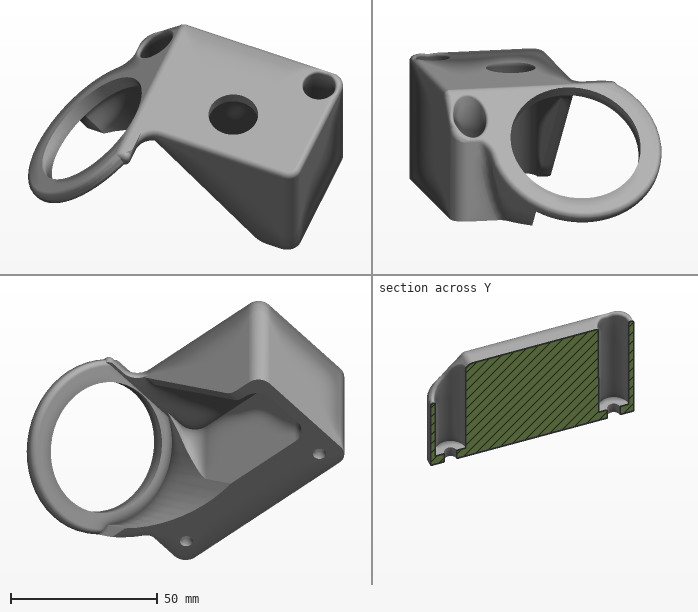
import cadquery as cq
import math

LENGTH = 97.5
HEIGHT = 43.0
BLOCK_DEPTH = 47.4
COLUMN_X = 22.6
CORNER_R = 5.0
WALL = 4.0
EDGE_R = 1.95
BEND_R = 2.9

BEND_X = 37.1
RING_X = 20.5
RING_Y = -42.4
RING_R = 30.0
RING_THICK = 5.0
BORE_D = 45.0
TUNNEL_R = 26.6
SKIRT_END_Y = -25.3
BLEND_R = 7.0
TAB_X = 41.2
TAB_R = 6.0
COLUMN_BLEND_R = 2.9

POCKET_BACK_Y = -17.1
POCKET_R = 6.0
WALL_FOOT_R = 6.8

TOP_HOLE_D = 17.0
TOP_HOLE_XY = (67.6, -29.9)
SCREW_D = 4.5
SCREW_HEAD_D = 11.0
SCREW_FLOOR = 4.0
SCREW_RIM_R = 0.9
SCREW_Y = -7.4
SCREW_XS = (30.0, 90.0)

MATCH = 0.01
REACH = 2 * LENGTH
ROOT2 = math.sqrt(2)
ring_run = (BEND_X - RING_X) * ROOT2
column_run = (BEND_X - COLUMN_X) * ROOT2
tab_y = RING_Y - math.sqrt(RING_R**2 - ring_run**2)

slope = cq.Plane(origin=(BEND_X, 0, HEIGHT), xDir=(-1, 0, -1), normal=(1, 0, -1))


def box(x0, x1, y0, y1, z0, z1):
    return cq.Workplane("XY").box(x1 - x0, y1 - y0, z1 - z0, centered=False).translate((x0, y0, z0))


def slope_disc(radius, start, depth):
    return (cq.Workplane(slope).workplane(offset=start)
            .center(ring_run, RING_Y).circle(radius).extrude(depth))


def slope_edges(shape, kind):
    """Edges of one kind around the sloped face."""
    face = shape.faces(cq.selectors.DirectionMinMaxSelector(slope.zDir, False))
    return face.edges(kind)


def make_block():
    plan = [(COLUMN_X, 0), (LENGTH, 0), (LENGTH, -BLOCK_DEPTH), (TAB_X, -BLOCK_DEPTH),
            (TAB_X, RING_Y), (COLUMN_X, RING_Y)]
    block = cq.Workplane("XY").polyline(plan).close().extrude(HEIGHT)
    for x, y in ((COLUMN_X, 0), (LENGTH, 0), (LENGTH, -BLOCK_DEPTH)):
        block = block.edges(cq.selectors.NearestToPointSelector((x, y, HEIGHT / 2))).fillet(CORNER_R)
    return block


def make_tab():
    """Strip of the top beside the ring, with the inner corner to the front wall rounded."""
    strip = box(BEND_X, TAB_X, tab_y, RING_Y, 0, HEIGHT).edges("|Z and >X and <Y").fillet(EDGE_R)
    corner = (cq.Workplane("XY").moveTo(TAB_X, -BLOCK_DEPTH).lineTo(TAB_X, -BLOCK_DEPTH - TAB_R)
              .radiusArc((TAB_X + TAB_R, -BLOCK_DEPTH), TAB_R).close().extrude(HEIGHT))
    return strip.union(corner)


def make_ring_stem():
    """Ring plate, with a skirt behind it that follows its outline square to the slope."""
    centre_x = column_run + BLEND_R
    reach = RING_R + BLEND_R
    centre_y = RING_Y + math.sqrt(reach**2 - (centre_x - ring_run)**2)
    part_way = RING_R / reach
    touch = (ring_run + (centre_x - ring_run) * part_way, RING_Y + (centre_y - RING_Y) * part_way)
    toward = (ring_run - centre_x, RING_Y - centre_y)
    angle = (math.pi + math.atan2(toward[1], toward[0]) % (2 * math.pi)) / 2
    middle = (centre_x + BLEND_R * math.cos(angle), centre_y + BLEND_R * math.sin(angle))

    web = (cq.Workplane(slope).moveTo(0, -CORNER_R).lineTo(column_run, -CORNER_R)
           .lineTo(column_run, centre_y).threePointArc(middle, touch)
           .lineTo(ring_run, RING_Y).lineTo(0, RING_Y).close().extrude(REACH))
    ring = slope_disc(RING_R, 0, REACH)
    stem = slope_edges(web.union(ring).clean(), "%CIRCLE").fillet(EDGE_R)
    ring_plate = slope_disc(RING_R, -EDGE_R, RING_THICK + EDGE_R)
    ring_plate = ring_plate.faces(cq.selectors.DirectionMinMaxSelector(slope.zDir)).edges().fillet(EDGE_R)
    skirt = stem.intersect(box(-LENGTH, TAB_X, SKIRT_END_Y, 0, 0, HEIGHT))
    below_top = box(-LENGTH, TAB_X, -LENGTH, 0, -LENGTH, HEIGHT)
    ring_plate = stem.intersect(ring_plate).intersect(below_top)
    return skirt.union(ring_plate)


def make_tunnel():
    """Clearance behind the ring, open toward the front."""
    middle_y = RING_Y - REACH / 2
    slot = (cq.Workplane(slope).workplane(offset=RING_THICK).center(ring_run, middle_y)
            .rect(2 * TUNNEL_R, REACH).extrude(REACH))
    tunnel = slope_disc(TUNNEL_R, RING_THICK, REACH).union(slot)
    return tunnel.intersect(box(-LENGTH, REACH, -REACH, 0, -LENGTH, HEIGHT - WALL))


def make_pocket():
    return (box(TAB_X, LENGTH - WALL, WALL - BLOCK_DEPTH, POCKET_BACK_Y, 0, HEIGHT - WALL)
            .edges("|Z").fillet(POCKET_R))


block = make_block().union(make_tab()).clean()
top_outline = [edge for edge in block.faces(">Z").edges().vals() if edge.Center().x > BEND_X]
block = block.newObject(top_outline).fillet(EDGE_R)
above_slope = cq.Workplane(slope).rect(REACH * 2, REACH * 2).extrude(-REACH)
block = block.cut(above_slope).clean()
block = slope_edges(block, "%ELLIPSE").fillet(EDGE_R)
below_tab = box(-LENGTH, TAB_X + TAB_R, -LENGTH, -BLOCK_DEPTH, 0, HEIGHT - WALL)

body = block.cut(below_tab).union(make_ring_stem())
body = body.cut(make_tunnel()).cut(make_pocket())

foot_x = 2 * RING_X - BEND_X + HEIGHT + TUNNEL_R * ROOT2
foot = cq.selectors.NearestToPointSelector((foot_x, WALL / 2 - BLOCK_DEPTH, 0))
body = body.edges(foot).fillet(WALL_FOOT_R)

joint = [edge for edge in body.edges("%ELLIPSE").vals()
         if all(abs(end.X - COLUMN_X) < MATCH for end in edge.Vertices()) and edge.Center().z < HEIGHT / 2]
body = body.newObject(joint).fillet(COLUMN_BLEND_R)

setback = BEND_R * math.tan(math.pi / 8)
bend_waste = (cq.Workplane("XZ").moveTo(BEND_X, HEIGHT).lineTo(BEND_X + setback, HEIGHT)
              .radiusArc((BEND_X - setback / ROOT2, HEIGHT - setback / ROOT2), -BEND_R)
              .close().extrude(REACH))
body = body.cut(bend_waste)

body = body.cut(slope_disc(BORE_D / 2, 0, RING_THICK))
body = body.cut(cq.Workplane("XY").center(*TOP_HOLE_XY).circle(TOP_HOLE_D / 2).extrude(HEIGHT))

for x in SCREW_XS:
    body = body.cut(cq.Workplane("XY").center(x, SCREW_Y).circle(SCREW_D / 2).extrude(HEIGHT))
    head = cq.Workplane("XY", origin=(x, SCREW_Y, SCREW_FLOOR)).circle(SCREW_HEAD_D / 2).extrude(HEIGHT)
    body = body.cut(head)
    rim = [edge for edge in body.edges("%CIRCLE or %ELLIPSE").vals()
           if (edge.Center() - cq.Vector(x, SCREW_Y, min(HEIGHT, HEIGHT - BEND_X + x))).Length < SCREW_D]
    body = body.newObject(rim).fillet(SCREW_RIM_R)

result = body